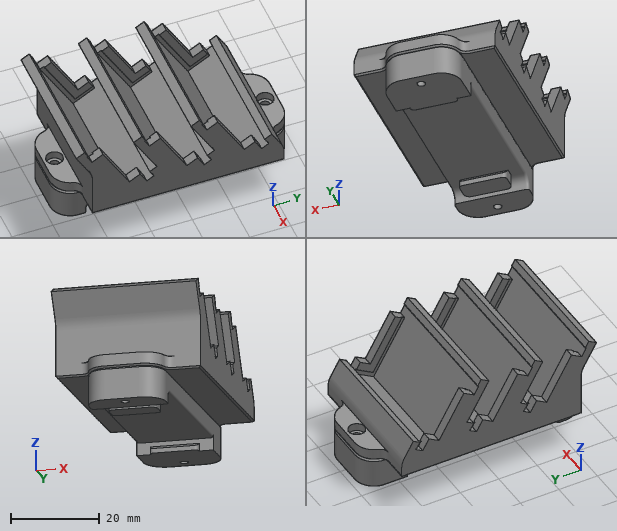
import cadquery as cq
import math

LENGTH = 56.9
BASE_WIDTH = 18.0
CORNER_RADIUS = 4.95
PARTING_Z = 7.55
JOINT_CHAMFER = 0.4
SCREW_Y = 25.65

TAPPED_DIAMETER = 1.9
CHANNEL_HEIGHT = 2.9
CHANNEL_Y_MAX = 17.5
CHANNEL_Y_MIN = -21.4
CHANNEL_RADIUS = 2.0
RIM_RADIUS = 0.7
HOOK_WIDTH = 11.4
FIXED_HOOK_REACH = 1.1
FIXED_HOOK_RADIUS = 0.95
FIXED_HOOK_TIP = 1.1
FIXED_HOOK_ROOT = 1.8
LATCH_Y_MAX = -15.15
LATCH_Y_MIN = -19.9
LATCH_TIP = 1.25
LATCH_FRONT_RADIUS = 0.95
LATCH_BACK_RADIUS = 1.5

RACK_WIDTH = 33.95
RACK_Y_MAX = 23.55
RACK_Y_MIN = -23.15
RACK_TOP = 28.0
LUG_TOP = 10.65
LUG_FILLET = 2.0
WALL_FILLET = 5.0
CLEARANCE_DIAMETER = 2.4
COUNTERBORE_DIAMETER = 4.0
COUNTERBORE_DEPTH = 2.0

LEAN = math.radians(60)
BAYS = 3
BAY_PITCH = 14.0
LIP_ACROSS = 2.0
FRONT_SLOT_ACROSS = 4.0
SUPPORT_ACROSS = 7.0
WALL_ACROSS = 10.05
BAY_ACROSS = BAY_PITCH * math.sin(LEAN)
SLOT_ALONG = -2.0
LOW_SUPPORT_ALONG = 1.25
HIGH_SUPPORT_ALONG = 14.15
SNAP_ALONG = 16.5
SNAP_DEPTH = 0.3
SLAT_ALONG = 18.3
LIP_Y = 20.55
LIP_Z = RACK_TOP + (WALL_ACROSS - SNAP_DEPTH) * math.cos(LEAN) - SLAT_ALONG * math.sin(LEAN)

POCKET_WIDTH = 29.3
WIDE_POCKET_WIDTH = 30.0
WIDE_FLOOR_ALONG = -0.8
WIDE_WALL_ACROSS = 9.0


def rounded_plate(bottom, top):
    """The plan outline common to the base and the lugs."""
    return (
        cq.Workplane("XY", origin=(0, 0, bottom))
        .rect(BASE_WIDTH, LENGTH)
        .extrude(top - bottom)
        .edges("|Z")
        .fillet(CORNER_RADIUS)
    )


def screw_cylinders(diameter, bottom, top):
    """A cylinder on each of the two screw axes."""
    return (
        cq.Workplane("XY", origin=(0, 0, bottom))
        .pushPoints([(0, SCREW_Y), (0, -SCREW_Y)])
        .circle(diameter / 2)
        .extrude(top - bottom)
    )


def across_x(points, width):
    """A (y, z) polygon extruded along X, centred on X = 0."""
    return cq.Workplane("YZ").polyline(points).close().extrude(width / 2, both=True)


def channel_cutter():
    """Rail channel running through along X, with one rounded ceiling corner."""
    length = CHANNEL_Y_MAX - CHANNEL_Y_MIN
    return (
        cq.Workplane("XY", origin=(0, (CHANNEL_Y_MAX + CHANNEL_Y_MIN) / 2, 0))
        .box(BASE_WIDTH, length, CHANNEL_HEIGHT, centered=(True, True, False))
        .edges("|X and >Z and <Y")
        .fillet(CHANNEL_RADIUS)
    )


def round_channel_rims(base):
    """Round the ceiling edge and the corner arc that continues it, on both X faces."""
    ceiling_y = (CHANNEL_Y_MAX + CHANNEL_Y_MIN + CHANNEL_RADIUS) / 2
    for x in (-BASE_WIDTH / 2, BASE_WIDTH / 2):
        ceiling_edge = cq.NearestToPointSelector((x, ceiling_y, CHANNEL_HEIGHT))
        base = base.edges(ceiling_edge).fillet(RIM_RADIUS)
    return base


def fixed_hook():
    """Rigid hook on the +Y wall of the channel."""
    tip_y = CHANNEL_Y_MAX - FIXED_HOOK_REACH
    profile = [
        (CHANNEL_Y_MAX, 0),
        (tip_y, 0),
        (tip_y, FIXED_HOOK_TIP),
        (CHANNEL_Y_MAX, FIXED_HOOK_ROOT),
    ]
    plan = (
        cq.Workplane("XY")
        .rect(HOOK_WIDTH, 2 * FIXED_HOOK_REACH)
        .extrude(FIXED_HOOK_ROOT)
        .edges("|Z and <Y")
        .fillet(FIXED_HOOK_RADIUS)
        .translate((0, CHANNEL_Y_MAX, 0))
    )
    return across_x(profile, HOOK_WIDTH).intersect(plan)


def latch():
    """Latch hanging from the channel ceiling, with a 45 degree lead-in."""
    lead_in = CHANNEL_HEIGHT - LATCH_TIP
    profile = [
        (LATCH_Y_MIN, 0),
        (LATCH_Y_MAX, 0),
        (LATCH_Y_MAX, LATCH_TIP),
        (LATCH_Y_MAX - lead_in, CHANNEL_HEIGHT),
        (LATCH_Y_MIN, CHANNEL_HEIGHT),
    ]
    plan = (
        cq.Workplane("XY", origin=(0, (LATCH_Y_MAX + LATCH_Y_MIN) / 2, 0))
        .rect(HOOK_WIDTH, LATCH_Y_MAX - LATCH_Y_MIN)
        .extrude(CHANNEL_HEIGHT)
        .edges("|Z and >Y")
        .fillet(LATCH_FRONT_RADIUS)
        .edges("|Z and <Y")
        .fillet(LATCH_BACK_RADIUS)
    )
    return across_x(profile, HOOK_WIDTH).intersect(plan)


def make_clip_base():
    base = rounded_plate(0, PARTING_Z).faces(">Z").chamfer(JOINT_CHAMFER)
    base = round_channel_rims(base.cut(channel_cutter()))
    base = base.union(fixed_hook()).union(latch())
    return base.cut(screw_cylinders(TAPPED_DIAMETER, 0, PARTING_Z))


def bay_point(bay, across, along):
    """The (y, z) place of a leaning-coordinate point in the given bay."""
    y = LIP_Y - bay * BAY_PITCH - across * math.sin(LEAN) - along * math.cos(LEAN)
    z = LIP_Z - across * math.cos(LEAN) + along * math.sin(LEAN)
    return (y, z)


def bay_profile(bay):
    """Saw-tooth outline of one bay, from its lip tip to the top of its slat."""
    snap_across = WALL_ACROSS - SNAP_DEPTH
    corners = [
        (0, 0),
        (LIP_ACROSS, 0),
        (LIP_ACROSS, SLOT_ALONG),
        (FRONT_SLOT_ACROSS, SLOT_ALONG),
        (FRONT_SLOT_ACROSS, LOW_SUPPORT_ALONG),
        (SUPPORT_ACROSS, LOW_SUPPORT_ALONG),
        (SUPPORT_ACROSS, HIGH_SUPPORT_ALONG),
        (WALL_ACROSS, HIGH_SUPPORT_ALONG),
        (WALL_ACROSS, SNAP_ALONG),
        (snap_across, SNAP_ALONG),
        (snap_across, SLAT_ALONG),
        (BAY_ACROSS, SLAT_ALONG),
    ]
    return [bay_point(bay, across, along) for across, along in corners]


def wall_height_below(point, wall_y):
    """Height at which the leaning face through a point meets a vertical wall."""
    y, z = point
    return z + (y - wall_y) * math.tan(LEAN)


def rack_block():
    """Solid rack with its three bays at full width and the blended end walls."""
    teeth = [point for bay in range(BAYS) for point in bay_profile(bay)]
    rear_bend = (RACK_Y_MAX, wall_height_below(teeth[0], RACK_Y_MAX))
    front_bend = (RACK_Y_MIN, wall_height_below(teeth[-1], RACK_Y_MIN))
    outline = [(RACK_Y_MAX, PARTING_Z), rear_bend, *teeth, front_bend, (RACK_Y_MIN, PARTING_Z)]
    block = across_x(outline, RACK_WIDTH)
    for y, z in (rear_bend, front_bend):
        block = block.edges(cq.NearestToPointSelector((0, y, z))).fillet(WALL_FILLET)
    return block


def add_lugs(block):
    """Screw lugs at both ends, filleted into the rack walls."""
    rack = block.union(rounded_plate(PARTING_Z, LUG_TOP))
    corner_x = BASE_WIDTH / 2 - CORNER_RADIUS
    corner_y = LENGTH / 2 - CORNER_RADIUS
    middle_z = (PARTING_Z + LUG_TOP) / 2
    for wall_y in (RACK_Y_MAX, RACK_Y_MIN):
        rise = max(abs(wall_y) - corner_y, 0)
        x = corner_x + math.sqrt(CORNER_RADIUS**2 - rise**2)
        for side in (-x, x):
            joint = cq.NearestToPointSelector((side, wall_y, middle_z))
            rack = rack.edges(joint).fillet(LUG_FILLET)
    return rack


def leaning_box(bay, across_range, along_range, width):
    """A box lying square to the slats of one bay."""
    across_min, across_max = across_range
    along_min, along_max = along_range
    corners = [
        (across_min, along_min),
        (across_max, along_min),
        (across_max, along_max),
        (across_min, along_max),
    ]
    return across_x([bay_point(bay, *corner) for corner in corners], width)


def pocket_cutter(bay):
    """Pocket between the cheeks, wider along its floor and against the slat."""
    middle = leaning_box(
        bay, (LIP_ACROSS, WALL_ACROSS), (SLOT_ALONG, SNAP_ALONG), POCKET_WIDTH
    )
    floor = leaning_box(
        bay, (LIP_ACROSS, WALL_ACROSS), (SLOT_ALONG, WIDE_FLOOR_ALONG), WIDE_POCKET_WIDTH
    )
    wall = leaning_box(
        bay, (WIDE_WALL_ACROSS, WALL_ACROSS), (SLOT_ALONG, SNAP_ALONG), WIDE_POCKET_WIDTH
    )
    return middle.union(floor).union(wall)


def make_rack():
    rack = add_lugs(rack_block()).faces("<Z").chamfer(JOINT_CHAMFER)
    for bay in range(BAYS):
        rack = rack.cut(pocket_cutter(bay))
    counterbore_floor = LUG_TOP - COUNTERBORE_DEPTH
    rack = rack.cut(screw_cylinders(CLEARANCE_DIAMETER, PARTING_Z, LUG_TOP))
    return rack.cut(screw_cylinders(COUNTERBORE_DIAMETER, counterbore_floor, LUG_TOP))


clip_base = make_clip_base()
rack = make_rack()
result = cq.Compound.makeCompound([clip_base.val(), rack.val()])